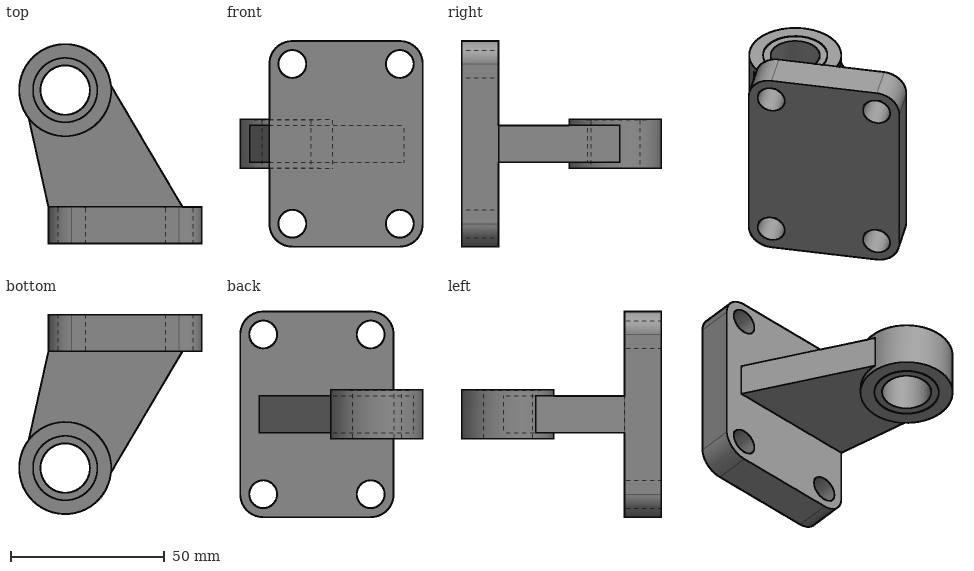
import cadquery as cq
import math

plate_width = 50.0
plate_thickness = 12.0
plate_height = 67.0
corner_radius = 7.5
bolt_hole_diameter = 9.0

eye_diameter = 30.0
eye_height = 16.0
eye_overhang = 9.5
total_depth = 65.0
eye_x = eye_diameter / 2 - eye_overhang
eye_y = total_depth - eye_diameter / 2
bore_diameter = 16.0
bush_diameter = 21.0
bush_recess = 0.2

arm_thickness = 12.0
arm_root_right = 43.7
arm_tip_radius = 13.6


def tangent_point(root_x, side):
    """Point where an arm side from its root touches the tip circle; side is +1 right, -1 left."""
    dx = root_x - eye_x
    dy = plate_thickness - eye_y
    to_root = math.atan2(dy, dx)
    spread = math.acos(arm_tip_radius / math.hypot(dx, dy))
    angle = to_root + side * spread
    return (
        eye_x + arm_tip_radius * math.cos(angle),
        eye_y + arm_tip_radius * math.sin(angle),
    )


def eye_cylinder(diameter, height):
    """Cylinder on the eye axis, centred on Z = 0."""
    return (
        cq.Workplane("XY")
        .workplane(offset=-height / 2)
        .center(eye_x, eye_y)
        .circle(diameter / 2)
        .extrude(height)
    )


def make_plate():
    """Rounded plate with bolt holes concentric with its corners."""
    plate = (
        cq.Workplane("XY")
        .box(plate_width, plate_thickness, plate_height, centered=(False, False, True))
        .edges("|Y")
        .fillet(corner_radius)
    )
    return (
        plate.faces("<Y")
        .workplane(centerOption="CenterOfBoundBox")
        .rarray(plate_width - 2 * corner_radius, plate_height - 2 * corner_radius, 2, 2)
        .hole(bolt_hole_diameter)
    )


def make_arm():
    """Flat arm joining the plate to the eye."""
    return (
        cq.Workplane("XY")
        .moveTo(0, plate_thickness)
        .lineTo(arm_root_right, plate_thickness)
        .lineTo(*tangent_point(arm_root_right, 1))
        .lineTo(*tangent_point(0, -1))
        .close()
        .extrude(arm_thickness / 2, both=True)
    )


def cut_bush_recesses(body):
    """Shallow recess around the bore on both ends of the eye."""
    recesses = eye_cylinder(bush_diameter, eye_height).cut(
        eye_cylinder(bush_diameter, eye_height - 2 * bush_recess)
    )
    return body.cut(recesses)


body = make_plate().union(make_arm()).union(eye_cylinder(eye_diameter, eye_height))
result = cut_bush_recesses(body).cut(eye_cylinder(bore_diameter, eye_height))